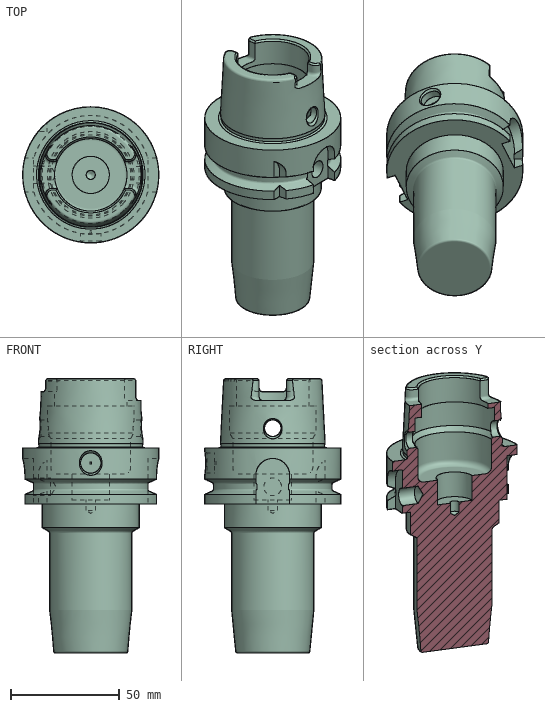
import cadquery as cq
import math

taper_top = 32.0
nose_bottom = -94.9
flange_bottom = -26.0
collar_bottom = -36.9
nose_taper_top = -75.0

taper_ratio = 0.05
taper_tip_radius = 22.75
taper_base = 2.1
tip_round = 1.2
relief_radius = 24.0
relief_top_height = 0.8
relief_foot_height = 0.4
relief_foot_width = 1.1

bore_radius = 16.75
bore_chamfer = 0.8
lip_bottom = 19.4
chamber_radius = 20.0
chamber_bottom = 6.9
shoulder_height = 2.6
well_radius = 18.5
well_round = 2.8
well_floor = -12.0
tube_seat_radius = 8.6
tube_seat_depth = 12.0
coolant_hole_radius = 2.1
coolant_hole_depth = 5.0

flange_radius = 31.5
groove_center = -18.0
groove_width = 7.1
groove_radius = 27.5
groove_flank_angle = 25.0
groove_round = 0.84

collar_radius = 22.45
nose_radius = 19.05
nose_end_radius = 17.1
step_angle = 30.0
nose_round = 1.0
collar_round = 1.0

drive_half_width = 6.25
drive_corner_radius = 3.0
drive_side_wall = 20.9
drive_floor_round = 1.55
drive_top_chamfer = 0.8
drive_flare_taper = -45.0
near_drive_depth = 6.0
far_drive_depth = 10.1

clamp_hole_radius = 3.8
clamp_hole_level = 9.1
clamp_mouth_radius = 4.7
chip_hole_radius = 4.7
chip_hole_level = -7.0
chip_hole_depth = 4.5
chip_mouth_radius = 5.7
chip_center_radius = 0.45
chip_center_depth = 1.0

keyway_radius = 7.85
keyway_top = -4.9
keyway_floor = 26.5
keyway_hole_radius = 4.1
keyway_hole_depth = 8.0
notch_floor = 20.3
notch_wall = 20.1

drill_point_angle = 118.0
clearance = 5.0
countersink_rise = 1.0
ring_tolerance = 0.1
seam_angle = 90.0


def point_height(radius):
    """Length of a drill point of the given radius."""
    return radius / math.tan(math.radians(drill_point_angle / 2))


def revolve_outline(outline):
    """Turn a closed half-section drawn in the XZ plane about the Z axis."""
    solid = outline.close().revolve(360, (0, 0, 0), (0, 1, 0))
    return solid.rotate((0, 0, 0), (0, 0, 1), seam_angle)


def ring_at(level):
    """Selector for the round edges lying at one level."""
    reach = flange_radius + clearance
    low = level - ring_tolerance
    high = level + ring_tolerance
    return cq.selectors.BoxSelector((-reach, -reach, low), (reach, reach, high))


def make_drill(radius, depth):
    """Round cutter from Z = 0 down to the given depth, ending in a drill point."""
    tip = -depth - point_height(radius)
    return revolve_outline(
        cq.Workplane("XZ").lineTo(radius, 0).lineTo(radius, -depth).lineTo(0, tip)
    )


def make_countersink(mouth_radius):
    """A 45 degree cone of the given radius at Z = 0, rising a little above it."""
    outer = mouth_radius + countersink_rise
    return revolve_outline(
        cq.Workplane("XZ")
        .moveTo(0, countersink_rise)
        .lineTo(outer, countersink_rise)
        .lineTo(0, -mouth_radius)
    )


def face_minus_y(cutter, radius, level):
    """Place a downward cutter so that it enters from -Y at the given radius."""
    return cutter.rotate((0, 0, 0), (1, 0, 0), 90).translate((0, -radius, level))


def face_side(cutter, side, radius, level):
    """Place a downward cutter so that it enters from the -X or +X side."""
    return cutter.rotate((0, 0, 0), (0, 1, 0), side * 90).translate((side * radius, 0, level))


def make_body():
    """Outer shape of the holder, turned about Z."""
    base_radius = taper_tip_radius + taper_ratio * (taper_top - taper_base)
    relief_top = taper_base - relief_top_height
    collar_step = (collar_radius - nose_radius) * math.tan(math.radians(step_angle))
    body = revolve_outline(
        cq.Workplane("XZ")
        .moveTo(0, nose_bottom)
        .lineTo(nose_end_radius, nose_bottom)
        .lineTo(nose_radius, nose_taper_top)
        .lineTo(nose_radius, collar_bottom - collar_step)
        .lineTo(collar_radius, collar_bottom)
        .lineTo(collar_radius, flange_bottom)
        .lineTo(flange_radius, flange_bottom)
        .lineTo(flange_radius, 0)
        .lineTo(relief_radius + relief_foot_width, 0)
        .lineTo(relief_radius, relief_foot_height)
        .lineTo(relief_radius, relief_top)
        .lineTo(base_radius, taper_base)
        .lineTo(taper_tip_radius, taper_top)
        .lineTo(0, taper_top)
    )
    body = body.faces(">Z").edges().fillet(tip_round)
    body = body.faces("<Z").edges().fillet(nose_round)
    return body.edges(ring_at(collar_bottom - collar_step)).fillet(collar_round)


def cut_gripper_groove(body):
    """V-groove around the flange with a rounded flat bottom."""
    half_mouth = groove_width / 2
    flank_drop = (flange_radius - groove_radius) * math.tan(math.radians(groove_flank_angle))
    half_bottom = half_mouth - flank_drop
    outer = flange_radius + clearance
    groove = revolve_outline(
        cq.Workplane("XZ")
        .moveTo(outer, groove_center - half_mouth)
        .lineTo(flange_radius, groove_center - half_mouth)
        .lineTo(groove_radius, groove_center - half_bottom)
        .lineTo(groove_radius, groove_center + half_bottom)
        .lineTo(flange_radius, groove_center + half_mouth)
        .lineTo(outer, groove_center + half_mouth)
    )
    bottom_edges = cq.selectors.RadiusNthSelector(0)
    groove = groove.edges("%CIRCLE").edges(bottom_edges).fillet(groove_round)
    return body.cut(groove)


def cut_bore(body):
    """Lipped clamping chamber, round-bottomed well, coolant tube seat and coolant hole."""
    seat_floor = well_floor - tube_seat_depth
    bore = revolve_outline(
        cq.Workplane("XZ")
        .moveTo(0, taper_top)
        .lineTo(bore_radius + bore_chamfer, taper_top)
        .lineTo(bore_radius, taper_top - bore_chamfer)
        .lineTo(bore_radius, lip_bottom)
        .lineTo(chamber_radius, lip_bottom)
        .lineTo(chamber_radius, chamber_bottom)
        .lineTo(well_radius, chamber_bottom - shoulder_height)
        .lineTo(well_radius, well_floor + well_round)
        .radiusArc((well_radius - well_round, well_floor), well_round)
        .lineTo(tube_seat_radius, well_floor)
        .lineTo(tube_seat_radius, seat_floor)
        .lineTo(0, seat_floor)
    )
    coolant_hole = make_drill(coolant_hole_radius, coolant_hole_depth)
    return body.cut(bore).cut(coolant_hole.translate((0, 0, seat_floor)))


def drive_slot_outline(level):
    """Plan of a drive slot on the +X side, its walls flaring round the shank."""
    corner_x = drive_side_wall - drive_corner_radius
    corner_y = drive_half_width + drive_corner_radius
    outer_x = taper_tip_radius + clearance
    outer_y = corner_y + clearance
    return (
        cq.Workplane("XY", origin=(0, 0, level))
        .moveTo(0, -drive_half_width)
        .lineTo(corner_x, -drive_half_width)
        .radiusArc((drive_side_wall, -corner_y), drive_corner_radius)
        .lineTo(drive_side_wall, -outer_y)
        .lineTo(outer_x, -outer_y)
        .lineTo(outer_x, outer_y)
        .lineTo(drive_side_wall, outer_y)
        .lineTo(drive_side_wall, corner_y)
        .radiusArc((corner_x, drive_half_width), drive_corner_radius)
        .lineTo(0, drive_half_width)
        .close()
    )


def cut_drive_slot(body, side, depth):
    """Drive slot with a rounded floor and chamfered top edges."""
    slot = drive_slot_outline(taper_top - depth).extrude(depth)
    slot = slot.faces("<Z").edges().fillet(drive_floor_round)
    flare_outline = drive_slot_outline(taper_top - drive_top_chamfer)
    flare = flare_outline.extrude(drive_top_chamfer, taper=drive_flare_taper)
    reach = 2 * flange_radius
    half = cq.Workplane("XY").box(reach, reach, 2 * reach).translate((reach / 2 + clearance, 0, 0))
    cutter = slot.union(flare).intersect(half)
    if side < 0:
        cutter = cutter.mirror("YZ")
    return body.cut(cutter)


def make_keyway(side, floor, center_y):
    """Flat-floored slot milled along X, open at the flange underside."""
    arc_level = keyway_top - keyway_radius
    length = flange_radius + clearance - floor
    end = cq.Workplane("YZ").circle(keyway_radius).extrude(length)
    leg_height = arc_level - flange_bottom
    leg_plan = cq.Workplane("YZ").center(0, -leg_height / 2)
    leg = leg_plan.rect(2 * keyway_radius, leg_height).extrude(length)
    keyway = end.union(leg).translate((floor, center_y, arc_level))
    return keyway if side > 0 else keyway.mirror("YZ")


def cut_flange_features(body):
    """Two keyways, a drilled hole in the -X keyway floor and the orientation notch."""
    hole = make_drill(keyway_hole_radius, keyway_hole_depth)
    for side in (-1, 1):
        body = body.cut(make_keyway(side, keyway_floor, 0))
    body = body.cut(face_side(hole, -1, keyway_floor, groove_center))
    return body.cut(make_keyway(-1, notch_floor, notch_wall + keyway_radius))


def cut_clamp_holes(body):
    """Countersunk access hole through both walls of the taper."""
    reach = taper_tip_radius + clearance
    start = cq.Workplane("YZ", origin=(-reach, 0, clamp_hole_level))
    body = body.cut(start.circle(clamp_hole_radius).extrude(2 * reach))
    wall_radius = taper_tip_radius + taper_ratio * (taper_top - clamp_hole_level)
    countersink = make_countersink(clamp_mouth_radius)
    for side in (-1, 1):
        body = body.cut(face_side(countersink, side, wall_radius, clamp_hole_level))
    return body


def cut_chip_hole(body):
    """Blind countersunk hole in the flange with a small centre hole in its floor."""
    hole = cq.Workplane("XY").circle(chip_hole_radius).extrude(-chip_hole_depth)
    center = make_drill(chip_center_radius, chip_hole_depth + chip_center_depth)
    width = 2 * flange_radius
    slab = cq.Workplane("XY").box(width, width, 2 * chip_hole_depth)
    countersink = make_countersink(chip_mouth_radius).intersect(slab)
    for cutter in (hole, center, countersink):
        body = body.cut(face_minus_y(cutter, flange_radius, chip_hole_level))
    return body


result = make_body()
result = cut_gripper_groove(result)
result = cut_bore(result)
result = cut_drive_slot(result, -1, near_drive_depth)
result = cut_drive_slot(result, 1, far_drive_depth)
result = cut_flange_features(result)
result = cut_clamp_holes(result)
result = cut_chip_hole(result)